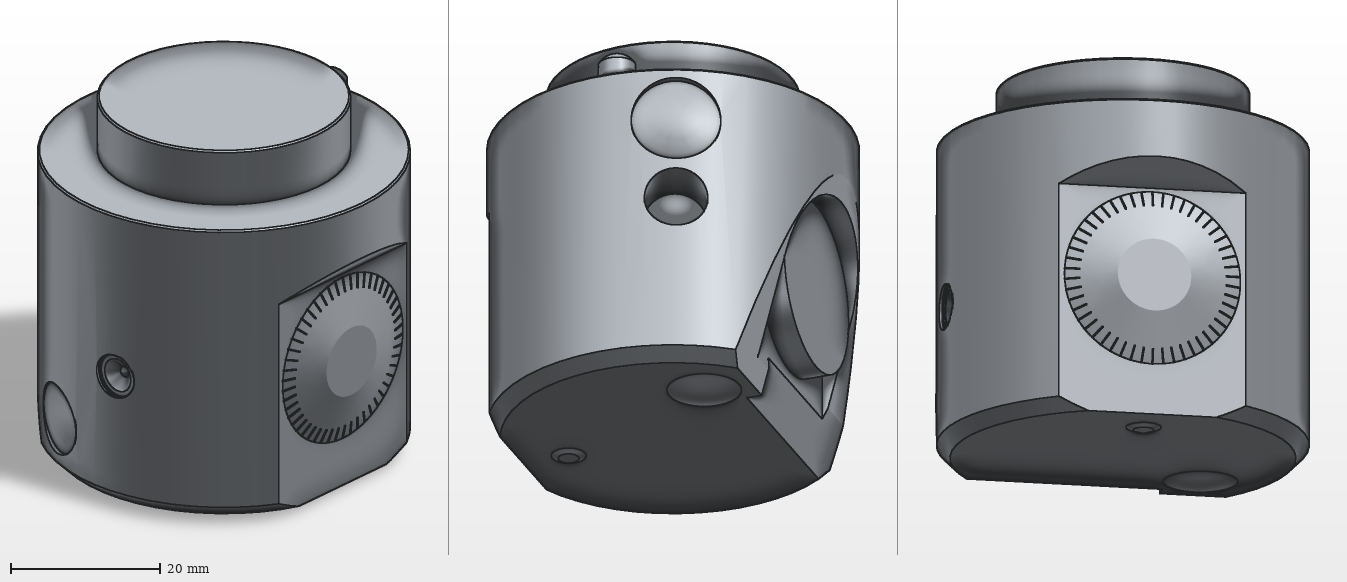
import cadquery as cq
import math

BODY_DIAMETER = 50.0
BODY_RADIUS = BODY_DIAMETER / 2
BODY_HEIGHT = 43.0
BOTTOM_CHAMFER = 1.8
SPIGOT_DIAMETER = 34.0
SPIGOT_HEIGHT = 8.0
EDGE_BREAK = 0.25

SLOPE_ANGLE = 15.0
SLOPE_TOP_Z = -8.7
FLAT_X = 21.5
UNDERCUT_TOP_Z = -8.0

BAR_DIAMETER = 24.0
BAR_RADIUS = BAR_DIAMETER / 2
BAR_Z = -24.0
BAR_FRONT_X = -20.6
DIAL_TIP_DIAMETER = 10.02
DIAL_HEIGHT = 1.6

MARK_COUNT = 50
MARK_LENGTH = 2.0
MARK_WIDTH = 0.12
MARK_DEPTH = 0.1

SEAT_X = -16.8
RELIEF_ANGLE = 30.0
RELIEF_BOTTOM_X = -13.7
RELIEF_SIDE_Y = 8.0

PIN_DIAMETER = 5.01
PIN_Y = 20.9
PIN_SHANK_HEIGHT = 3.1
PIN_DOME_HEIGHT = 1.45
PIN_DEPTH = 6.0

SCREW_TILT = 22.0
FRONT_ANGLE = 270.0 - SCREW_TILT
BACK_ANGLE = 90.0 + SCREW_TILT
DOME_HEIGHT = 0.96
HEAD_ROOT = 2.0
SMALL_HEAD_DIAMETER = 10.02
LARGE_HEAD_DIAMETER = 12.02
FRONT_HEAD_Z = -34.8
FRONT_HEAD_RIM = 24.4
BACK_HEAD_Z = -7.4
BACK_HEAD_RIM = 23.9
BOTTOM_HEAD_X = -9.2
BOTTOM_HEAD_Y = 12.3

STUD_X = 15.0
STUD_DIAMETER = 4.7
STUD_TIP_DIAMETER = 2.8
STUD_HEIGHT = 0.4

SIDE_HOLE_DIAMETER = 8.5
SIDE_HOLE_Z = -19.1
SIDE_HOLE_DEPTH = 8.0

CUP_X = 2.75
CUP_Z = -24.0
CUP_MOUTH_DIAMETER = 6.25
CUP_BORE_DIAMETER = 6.0
CUP_RECESS = 0.6
CUP_CONE_DIAMETER = 4.7
CUP_CONE_DEPTH = 1.4
CUP_BALL_DIAMETER = 1.5
CUP_BALL_HEIGHT = 0.35

CUT_SIZE = 2 * BODY_DIAMETER


def radial_plane(angle, z, distance):
    """Plane facing away from the Z axis; the angle is counted from +X."""
    turn = math.radians(angle)
    normal = cq.Vector(math.cos(turn), math.sin(turn), 0)
    return cq.Plane(origin=normal * distance + cq.Vector(0, 0, z), xDir=(0, 0, 1), normal=normal)


def domed_cylinder(plane, diameter, dome_height, shank):
    """Cylinder whose rim lies on the plane, with a spherical cap above it and a shank below it."""
    radius = diameter / 2
    sphere_radius = (radius ** 2 + dome_height ** 2) / (2 * dome_height)
    half_angle = math.asin(radius / sphere_radius) / 2
    cap_middle = (
        sphere_radius * math.sin(half_angle),
        dome_height - sphere_radius * (1 - math.cos(half_angle)),
    )
    upright = (
        cq.Workplane("XZ")
        .moveTo(0, -shank)
        .lineTo(radius, -shank)
        .lineTo(radius, 0)
        .threePointArc(cap_middle, (0, dome_height))
        .close()
        .revolve(360, (0, 0, 0), (0, 1, 0))
    )
    return cq.Workplane(obj=upright.val().moved(cq.Location(plane)))


def frustum(plane, base_diameter, tip_diameter, height):
    return (
        cq.Workplane(plane)
        .circle(base_diameter / 2)
        .workplane(offset=height)
        .circle(tip_diameter / 2)
        .loft(ruled=True)
    )


def make_blank():
    body = (
        cq.Workplane("XY")
        .circle(BODY_RADIUS)
        .extrude(-BODY_HEIGHT)
        .faces("<Z").chamfer(BOTTOM_CHAMFER)
        .faces(">Z").chamfer(EDGE_BREAK)
    )
    spigot = (
        cq.Workplane("XY")
        .circle(SPIGOT_DIAMETER / 2)
        .extrude(SPIGOT_HEIGHT)
        .faces(">Z").chamfer(EDGE_BREAK)
    )
    return body.union(spigot)


def slope_cut():
    bottom_z = -BODY_HEIGHT
    run = (SLOPE_TOP_Z - bottom_z) * math.tan(math.radians(SLOPE_ANGLE))
    return (
        cq.Workplane("XZ")
        .moveTo(-BODY_RADIUS, SLOPE_TOP_Z)
        .lineTo(-BODY_RADIUS + run, bottom_z)
        .lineTo(-BODY_RADIUS, bottom_z)
        .close()
        .extrude(CUT_SIZE / 2, both=True)
    )


def undercut():
    shoulder = BODY_RADIUS - FLAT_X
    return (
        cq.Workplane("XZ")
        .moveTo(BODY_RADIUS, UNDERCUT_TOP_Z)
        .lineTo(FLAT_X, UNDERCUT_TOP_Z - shoulder)
        .lineTo(FLAT_X, -BODY_HEIGHT)
        .lineTo(BODY_RADIUS, -BODY_HEIGHT)
        .close()
        .extrude(CUT_SIZE / 2, both=True)
    )


def seat_cut():
    """Slot as wide as the bar, round above it and open at the bottom."""
    return (
        cq.Workplane("YZ", origin=(SEAT_X, 0, BAR_Z))
        .moveTo(-BAR_RADIUS, 0)
        .threePointArc((0, BAR_RADIUS), (BAR_RADIUS, 0))
        .lineTo(BAR_RADIUS, -BODY_HEIGHT)
        .lineTo(-BAR_RADIUS, -BODY_HEIGHT)
        .close()
        .extrude(-BODY_RADIUS)
    )


def relief_cut():
    run = BODY_HEIGHT * math.tan(math.radians(RELIEF_ANGLE))
    return (
        cq.Workplane("XZ", origin=(RELIEF_BOTTOM_X, RELIEF_SIDE_Y, -BODY_HEIGHT))
        .lineTo(-run, BODY_HEIGHT)
        .lineTo(-run, 0)
        .close()
        .extrude(CUT_SIZE)
    )


def sink_head(body, plane, diameter):
    """Sink a domed screw head into a round recess that opens outwards from the plane."""
    recess = cq.Workplane(plane).circle(diameter / 2).extrude(BODY_RADIUS)
    return body.cut(recess).union(domed_cylinder(plane, diameter, DOME_HEIGHT, HEAD_ROOT))


def cut_nipple(body):
    mouth_y = -math.sqrt(BODY_RADIUS ** 2 - CUP_X ** 2)
    mouth_radius = CUP_MOUTH_DIAMETER / 2
    bore_radius = CUP_BORE_DIAMETER / 2
    cone_bottom = CUP_RECESS + CUP_CONE_DEPTH
    cup = (
        cq.Workplane("XY", origin=(CUP_X, mouth_y, CUP_Z))
        .moveTo(0, -CUP_RECESS)
        .lineTo(mouth_radius, -CUP_RECESS)
        .lineTo(mouth_radius, EDGE_BREAK)
        .lineTo(bore_radius, EDGE_BREAK + mouth_radius - bore_radius)
        .lineTo(bore_radius, CUP_RECESS)
        .lineTo(CUP_CONE_DIAMETER / 2, CUP_RECESS)
        .lineTo(CUP_BALL_DIAMETER / 2, cone_bottom)
        .lineTo(0, cone_bottom)
        .close()
        .revolve(360, (0, 0, 0), (0, 1, 0))
    )
    ball_plane = cq.Plane(origin=(CUP_X, mouth_y + cone_bottom, CUP_Z), xDir=(1, 0, 0), normal=(0, -1, 0))
    ball = domed_cylinder(ball_plane, CUP_BALL_DIAMETER, CUP_BALL_HEIGHT, CUP_RECESS)
    return body.cut(cup).union(ball)


def make_housing():
    body = make_blank()
    for cutter in (slope_cut(), undercut(), seat_cut(), relief_cut()):
        body = body.cut(cutter)
    body = cut_nipple(body)

    front_plane = radial_plane(FRONT_ANGLE, FRONT_HEAD_Z, FRONT_HEAD_RIM)
    back_plane = radial_plane(BACK_ANGLE, BACK_HEAD_Z, BACK_HEAD_RIM)
    bottom_plane = cq.Plane(origin=(BOTTOM_HEAD_X, BOTTOM_HEAD_Y, -BODY_HEIGHT), normal=(0, 0, -1))
    body = sink_head(body, front_plane, SMALL_HEAD_DIAMETER)
    body = sink_head(body, back_plane, LARGE_HEAD_DIAMETER)
    body = sink_head(body, bottom_plane, SMALL_HEAD_DIAMETER)

    stud_plane = cq.Plane(origin=(STUD_X, 0, -BODY_HEIGHT), normal=(0, 0, -1))
    body = body.union(frustum(stud_plane, STUD_DIAMETER, STUD_TIP_DIAMETER, STUD_HEIGHT))

    hole_plane = radial_plane(BACK_ANGLE, SIDE_HOLE_Z, BODY_RADIUS)
    side_hole = cq.Workplane(hole_plane).circle(SIDE_HOLE_DIAMETER / 2).extrude(-SIDE_HOLE_DEPTH)
    return body.cut(side_hole)


def dial_marks():
    """Narrow radial grooves at the rim of the dial cone, one every pitch around the bar axis."""
    pitch = 360.0 / MARK_COUNT
    rise = DIAL_HEIGHT / (BAR_RADIUS - DIAL_TIP_DIAMETER / 2)
    inner_x = FLAT_X + rise * MARK_LENGTH
    groove = (
        cq.Workplane("XY", origin=(0, 0, BAR_Z))
        .moveTo(FLAT_X - MARK_DEPTH, BAR_RADIUS)
        .lineTo(inner_x - MARK_DEPTH, BAR_RADIUS - MARK_LENGTH)
        .lineTo(inner_x + MARK_DEPTH, BAR_RADIUS - MARK_LENGTH)
        .lineTo(FLAT_X + MARK_DEPTH, BAR_RADIUS)
        .close()
        .extrude(MARK_WIDTH / 2, both=True)
        .val()
    )
    axis_start = cq.Vector(0, 0, BAR_Z)
    axis_end = cq.Vector(1, 0, BAR_Z)
    grooves = []
    for index in range(MARK_COUNT):
        grooves.append(groove.rotate(axis_start, axis_end, (index + 0.5) * pitch))
    return cq.Workplane(obj=cq.Compound.makeCompound(grooves))


def make_bar():
    shank = (
        cq.Workplane("YZ", origin=(BAR_FRONT_X, 0, BAR_Z))
        .circle(BAR_RADIUS)
        .extrude(FLAT_X - BAR_FRONT_X)
    )
    dial_plane = cq.Plane(origin=(FLAT_X, 0, BAR_Z), xDir=(0, 1, 0), normal=(1, 0, 0))
    dial = frustum(dial_plane, BAR_DIAMETER, DIAL_TIP_DIAMETER, DIAL_HEIGHT)
    return shank.union(dial)


def make_pin():
    rim_plane = cq.Plane(origin=(0, PIN_Y, PIN_SHANK_HEIGHT))
    return domed_cylinder(rim_plane, PIN_DIAMETER, PIN_DOME_HEIGHT, PIN_SHANK_HEIGHT + PIN_DEPTH)


plain_bar = make_bar()
pin = make_pin()
housing = make_housing().cut(plain_bar).cut(pin)
bar = plain_bar.cut(dial_marks())

result = cq.Compound.makeCompound([housing.val(), bar.val(), pin.val()])